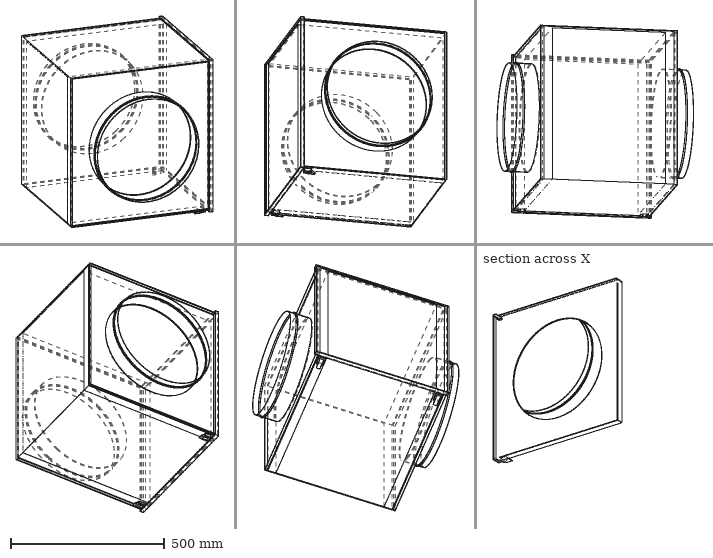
import cadquery as cq

overall_length = 587.0
overall_depth = 495.0
overall_height = 533.5

lid_width = 464.0
lid_height = 526.0
lid_depth = 12.5
lid_skirt = 4.5
lid_back = 2.5

sheet = 3.0
end_recess = 7.5
front_lip = 6.0
bend_radius = 4.5

spigot_radius = 178.0
spigot_from_front = 244.0
spigot_wall = 1.0
bead_height = 3.0
bead_width = 5.0
bead_from_end = 23.0

filter_end_gap = 39.0
filter_top_gap = 4.5

latch_spacing = 407.5
latch_base_width = 22.5
latch_base_length = 21.0
latch_lever_width = 13.0
latch_base_gap = 7.0
lever_start = 9.5
lever_tip = 43.0
lever_heel = 28.0
lever_rear_height = 3.5
lever_foot = 20.5

front_y = -overall_depth / 2
lid_back_y = overall_depth / 2
lid_front_y = lid_back_y - lid_depth
housing_rear_y = lid_back_y - lid_back
lid_top_z = overall_height / 2
latch_bottom_z = -overall_height / 2
axis_z = lid_top_z - lid_height / 2
housing_width = lid_width - 2 * lid_skirt
housing_height = lid_height - 2 * lid_skirt
housing_bottom_z = axis_z - housing_height / 2
panel_x = housing_width / 2 - end_recess
axis_y = front_y + spigot_from_front


def block(width, height, y_front, y_rear):
    """Box centred on the housing's axis in X and Z, between two Y places."""
    middle_y = (y_front + y_rear) / 2
    return cq.Workplane("XY").box(width, y_rear - y_front, height).translate((0, middle_y, axis_z))


def end_recess_cut(side):
    """Shallow pocket that sets one end panel back behind the sheet edges."""
    pocket_front_y = front_y + front_lip
    pocket = block(end_recess, housing_height - 2 * sheet, pocket_front_y, lid_front_y)
    return pocket.translate((side * (panel_x + end_recess / 2), 0, 0))


def spigot(side):
    """Beaded tube that stands on one end panel, as a revolved wall profile."""
    end_x = overall_length / 2
    bead_x = end_x - bead_from_end
    bead_start = bead_x - bead_width / 2
    bead_end = bead_x + bead_width / 2
    inner_radius = spigot_radius - spigot_wall
    profile = (
        cq.Workplane("XZ")
        .moveTo(panel_x - sheet, spigot_radius)
        .lineTo(bead_start, spigot_radius)
        .threePointArc((bead_x, spigot_radius + bead_height), (bead_end, spigot_radius))
        .lineTo(end_x, spigot_radius)
        .lineTo(end_x, inner_radius)
        .lineTo(bead_end, inner_radius)
        .threePointArc((bead_x, inner_radius + bead_height), (bead_start, inner_radius))
        .lineTo(panel_x - sheet, inner_radius)
        .close()
    )
    tube = profile.revolve(360, (0, 0, 0), (1, 0, 0))
    if side < 0:
        tube = tube.mirror("YZ")
    return tube.translate((0, axis_y, axis_z))


def latch(x):
    """Toggle latch: a base plate and a narrower lever that reaches forward."""
    base_rear_y = lid_front_y - latch_base_gap
    base_bottom_z = latch_bottom_z + lever_rear_height
    base_height = housing_bottom_z - base_bottom_z
    base = (
        cq.Workplane("XY")
        .box(latch_base_width, latch_base_length, base_height)
        .translate((x, base_rear_y - latch_base_length / 2, base_bottom_z + base_height / 2))
    )
    lever = (
        cq.Workplane("YZ")
        .moveTo(lid_front_y - lever_start, housing_bottom_z)
        .lineTo(lid_front_y - lever_start, base_bottom_z)
        .lineTo(lid_front_y - lever_foot, latch_bottom_z)
        .lineTo(lid_front_y - lever_tip, latch_bottom_z)
        .lineTo(lid_front_y - lever_heel, housing_bottom_z)
        .close()
        .extrude(latch_lever_width / 2, both=True)
        .translate((x, 0, 0))
    )
    return base.union(lever)


def make_housing():
    body = block(housing_width, housing_height, front_y, housing_rear_y)
    body = body.faces("<Y").edges("|X").fillet(bend_radius)
    inside_width = 2 * (panel_x - sheet)
    inside_height = housing_height - 2 * sheet
    body = body.cut(block(inside_width, inside_height, front_y + sheet, housing_rear_y))
    opening = cq.Workplane("YZ").circle(spigot_radius - spigot_wall).extrude(overall_length, both=True)
    body = body.cut(opening.translate((0, axis_y, axis_z)))
    for side in (-1, 1):
        body = body.cut(end_recess_cut(side))
        body = body.union(spigot(side))
        body = body.union(latch(side * latch_spacing / 2))
    return body


def make_lid():
    tray = block(lid_width, lid_height, lid_front_y, lid_back_y)
    return tray.cut(block(housing_width, housing_height, lid_front_y, housing_rear_y))


def make_filter():
    width = housing_width - 2 * filter_end_gap
    height = housing_height - 2 * sheet - filter_top_gap
    cassette = block(width, height, front_y + sheet, housing_rear_y)
    return cassette.translate((0, 0, -filter_top_gap / 2))


housing = make_housing()
lid = make_lid()
filter_cassette = make_filter()

result = cq.Compound.makeCompound([housing.val(), lid.val(), filter_cassette.val()])